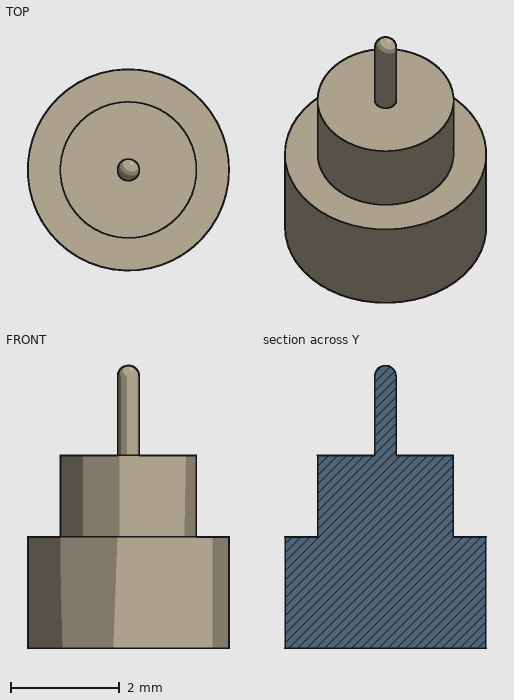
import cadquery as cq

total_height = 5.2
base_diameter = 3.7
base_height = 2.05
collar_diameter = 2.5
collar_height = 1.5
pin_diameter = 0.4

collar_top = base_height + collar_height
pin_height = total_height - collar_top


def make_pin():
    """Round pin with a hemispherical tip, standing on the collar."""
    pin_radius = pin_diameter / 2
    shank_height = pin_height - pin_radius
    shank = cq.Workplane("XY").workplane(offset=collar_top).circle(pin_radius).extrude(shank_height)
    tip = cq.Workplane("XY").sphere(pin_radius).translate((0, 0, collar_top + shank_height))
    return shank.union(tip)


base = cq.Workplane("XY").circle(base_diameter / 2).extrude(base_height)
body = base.faces(">Z").workplane().circle(collar_diameter / 2).extrude(collar_height)

result = body.union(make_pin())